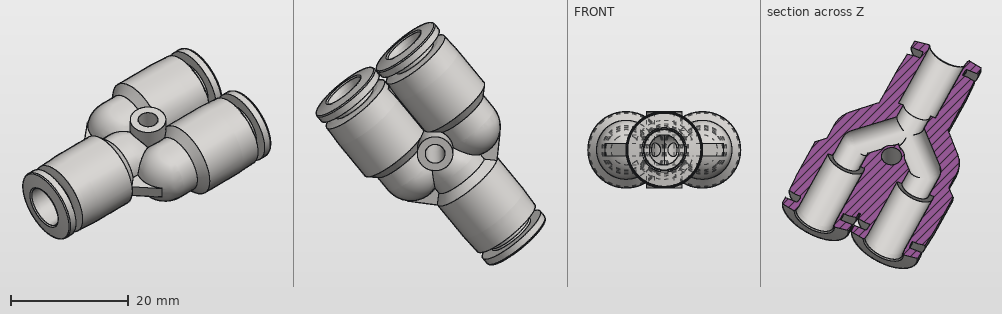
import cadquery as cq
import math

length = 39.8
body_r = 6.507
leg_x = 6.5
waist_r = 5.0
mouth_y = length / 2

bevel_depth = 0.4
rim_depth = 0.65
collar_depth = 1.85
neck_cone_depth = 2.2
body_face_depth = 3.05
body_rim_depth = 3.3
draft_depth = 4.3
full_body_depth = 6.75
shoulder_depth = 14.05
waist_depth = shoulder_depth + body_r - waist_r
leg_dome_depth = 18.55
stem_dome_depth = 17.47

bevel_r = 6.2
collar_r = 6.33
neck_root_r = 4.15
neck_r = 4.0
body_face_r = 5.0
draft_r = 6.35

mouth_r = 3.8
lead_in_r = 3.55
lead_in_depth = 0.25
bore_r = 3.42
taper_depth = 1.1
seat_depth = 12.75
passage_r = 2.55

lug_y = 2.95
lug_r = 3.02
lug_hole_r = 1.67
post_r = 2.23
post_bite = 0.28

rib_thickness = 2.1
branch_angle = 45.0

leg_dome_y = mouth_y - leg_dome_depth


def revolve_about_y(points):
    """Solid of revolution about Y from (radius, y) points."""
    return cq.Workplane("XY").polyline(points).close().revolve(360, (0, 0, 0), (0, 1, 0))


def place_on_leg(shape):
    """Turn a shape built mouth-at-origin, running +Y, to face +Y on the +X leg axis."""
    return shape.rotate((0, 0, 0), (0, 0, 1), 180).translate((leg_x, mouth_y, 0))


def place_on_stem(shape):
    """Move a shape built mouth-at-origin, running +Y, to face -Y on the stem axis."""
    return shape.translate((0, -mouth_y, 0))


def socket_body(dome_depth):
    """Release collar, neck, body, shoulder and domed waist, mouth at the origin."""
    turned = revolve_about_y([
        (0, 0),
        (mouth_r, 0),
        (bevel_r, bevel_depth),
        (collar_r, rim_depth),
        (collar_r, collar_depth),
        (neck_root_r, collar_depth),
        (neck_r, neck_cone_depth),
        (neck_r, body_face_depth),
        (body_face_r, body_face_depth),
        (collar_r, body_rim_depth),
        (draft_r, draft_depth),
        (body_r, full_body_depth),
        (body_r, shoulder_depth),
        (waist_r, waist_depth),
        (waist_r, dome_depth),
        (0, dome_depth),
    ])
    dome = cq.Workplane("XY").sphere(waist_r).translate((0, dome_depth, 0))
    return turned.union(dome)


def socket_bore(passage_depth):
    """Chamfered tube bore, seat and passage, mouth at the origin."""
    return revolve_about_y([
        (0, 0),
        (mouth_r, 0),
        (lead_in_r, lead_in_depth),
        (bore_r, taper_depth),
        (bore_r, seat_depth),
        (passage_r, seat_depth),
        (passage_r, passage_depth),
        (0, passage_depth),
    ])


def rib():
    """Flat gusset whose 45 degree edge touches the leg dome and ends at the stem shoulder."""
    angle = math.radians(branch_angle)
    touch_x = leg_x + waist_r * math.cos(angle)
    touch_y = leg_dome_y - waist_r * math.sin(angle)
    shoulder_y = shoulder_depth - mouth_y
    outline = [
        (0, shoulder_y),
        (body_r, shoulder_y),
        (touch_x, touch_y),
        (leg_x, leg_dome_y),
        (0, leg_dome_y),
    ]
    return cq.Workplane("XY").polyline(outline).close().extrude(rib_thickness / 2, both=True)


def web():
    """Thin strip closing the gap between the two leg bodies."""
    web_length = mouth_y - draft_depth - lug_y
    strip = cq.Workplane("XY").box(leg_x, web_length, rib_thickness)
    return strip.translate((0, lug_y + web_length / 2, 0))


post_to_branch_axis = post_r + passage_r - post_bite
branch_start_y = lug_y - post_to_branch_axis / math.sin(math.radians(branch_angle))
branch_end_y = branch_start_y + leg_x / math.tan(math.radians(branch_angle))


def branch_passage():
    """Round-ended passage from the stem axis to the leg axis, with the lug post left standing in it."""
    start = cq.Vector(0, branch_start_y, 0)
    run = cq.Vector(leg_x, branch_end_y - branch_start_y, 0)
    bore = cq.Workplane(cq.Solid.makeCylinder(passage_r, run.Length, start, run))
    round_end = cq.Workplane("XY").sphere(passage_r).translate((leg_x, branch_end_y, 0))
    return bore.union(round_end).cut(lug_cylinder(post_r))


def lug_cylinder(radius):
    """Full-height cylinder on the lug axis."""
    return cq.Workplane("XY").center(0, lug_y).circle(radius).extrude(body_r, both=True)


def with_mirror(shape):
    """Join a shape with its mirror image across X = 0."""
    return shape.union(shape.mirror("YZ"))


outer = with_mirror(
    place_on_stem(socket_body(stem_dome_depth))
    .union(place_on_leg(socket_body(leg_dome_depth)))
    .union(rib())
    .union(web())
    .union(lug_cylinder(lug_r))
)

stem_bore = place_on_stem(socket_bore(mouth_y + branch_start_y))
leg_bore = place_on_leg(socket_bore(mouth_y - branch_end_y))
branch = leg_bore.union(branch_passage())

result = (
    outer.cut(stem_bore)
    .cut(branch)
    .cut(branch.mirror("YZ"))
    .cut(lug_cylinder(lug_hole_r))
)